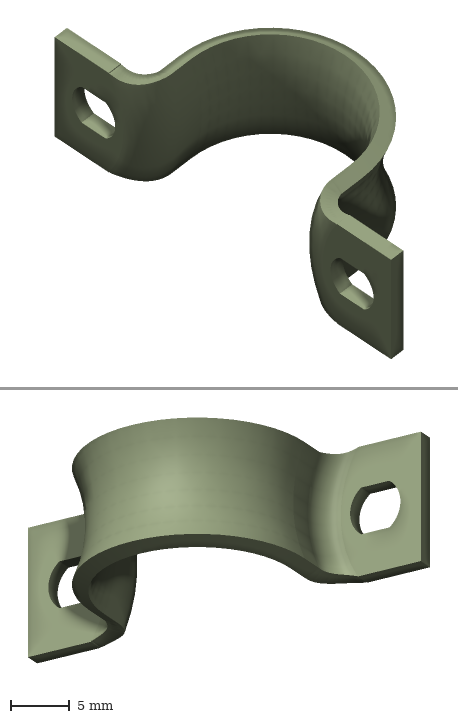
import cadquery as cq
import math

LENGTH = 39.0
HEIGHT = 12.0
THICKNESS = 1.52
half_length = LENGTH / 2
half_height = HEIGHT / 2

THROAT_RADIUS = 8.0
CROWN_RADIUS = 15.0
ARCH_CENTRE_Y = 5.95
ARCH_ANGLE = 180
crown_outer_radius = CROWN_RADIUS - THICKNESS
crown_axis_x = THROAT_RADIUS + CROWN_RADIUS
rim_angle = math.asin(half_height / CROWN_RADIUS)

BEND_RADIUS = 3.55
bend_inside_radius = BEND_RADIUS - THICKNESS
bend_centre_radius = CROWN_RADIUS - BEND_RADIUS
foot_angle = math.asin(half_height / bend_centre_radius)

FLARE_POWER = 4
FLARE_STATIONS = 12
FLARE_OVERRUN = math.radians(6)
TRIM_RADIUS_MIN = 0.2
TRIM_RADIUS_MAX = 4.68
TRIM_DEPTH = 7.8

HOLE_X = 14.98
HOLE_LENGTH = 5.0
HOLE_HEIGHT = 4.33
HOLE_FLAT = 2.8


def make_arch():
    """Half ring whose section is a slice of a curved strip with radial rims."""
    cos_rim = math.cos(rim_angle)
    sin_rim = math.sin(rim_angle)

    def rim_point(radius, side):
        return crown_axis_x - radius * cos_rim, side * radius * sin_rim

    section = (
        cq.Workplane("XZ", origin=(0, ARCH_CENTRE_Y, 0))
        .moveTo(*rim_point(CROWN_RADIUS, -1))
        .threePointArc((THROAT_RADIUS, 0), rim_point(CROWN_RADIUS, 1))
        .lineTo(*rim_point(crown_outer_radius, 1))
        .threePointArc((THROAT_RADIUS + THICKNESS, 0), rim_point(crown_outer_radius, -1))
        .close()
    )
    return section.revolve(ARCH_ANGLE, (0, 0, 0), (0, 1, 0))


def revolve_about_crown(profile, half_angle):
    """Turn an XY profile about the crown axis, evenly above and below Z = 0."""
    angle = math.degrees(half_angle)
    axis_start = (crown_axis_x, 0, 0)
    axis_end = (crown_axis_x, 1, 0)
    solid = profile.revolve(2 * angle, axis_start, axis_end)
    return solid.rotate(axis_start, axis_end, -angle)


def make_wall():
    """Straight stretch between the arch and the bend."""
    profile = (
        cq.Workplane("XY")
        .moveTo(THROAT_RADIUS, BEND_RADIUS)
        .rect(THICKNESS, ARCH_CENTRE_Y - BEND_RADIUS, centered=False)
    )
    return revolve_about_crown(profile, rim_angle)


def flare_point(bend_angle, bend_radius):
    """Point of the flaring rim at an angle and radius around the bend."""
    progress = min(max(bend_angle / (math.pi / 2), 0), 1)
    turn = rim_angle + (foot_angle - rim_angle) * progress**FLARE_POWER
    radius = bend_centre_radius + bend_radius * math.cos(bend_angle)
    return cq.Vector(
        crown_axis_x - radius * math.cos(turn),
        BEND_RADIUS - bend_radius * math.sin(bend_angle),
        radius * math.sin(turn),
    )


def make_flare_cutter():
    """Solid above the ruled surface that forms the upper rim of the bend."""
    sweep = math.pi / 2 + 2 * FLARE_OVERRUN
    angles = [sweep * i / FLARE_STATIONS - FLARE_OVERRUN for i in range(FLARE_STATIONS + 1)]
    inner, outer = [
        cq.Edge.makeSpline([flare_point(angle, radius) for angle in angles])
        for radius in (TRIM_RADIUS_MIN, TRIM_RADIUS_MAX)
    ]
    rim_face = cq.Face.makeRuledSurface(inner, outer)
    return cq.Workplane(cq.Solid.extrudeLinear(rim_face, cq.Vector(0, 0, TRIM_DEPTH)))


def make_bend():
    """Quarter bend from the wall to the foot with flared rims."""
    diagonal = math.sqrt(0.5)
    centre_x = THROAT_RADIUS + BEND_RADIUS
    profile = (
        cq.Workplane("XY")
        .moveTo(THROAT_RADIUS, BEND_RADIUS)
        .threePointArc(
            (centre_x - BEND_RADIUS * diagonal, BEND_RADIUS * (1 - diagonal)),
            (centre_x, 0),
        )
        .lineTo(centre_x, THICKNESS)
        .threePointArc(
            (centre_x - bend_inside_radius * diagonal, BEND_RADIUS - bend_inside_radius * diagonal),
            (THROAT_RADIUS + THICKNESS, BEND_RADIUS),
        )
        .close()
    )
    cutter = make_flare_cutter()
    bend = revolve_about_crown(profile, foot_angle)
    bend = bend.cut(cutter).cut(cutter.mirror("XY"))
    return bend.intersect(cq.Workplane("XY").box(LENGTH, LENGTH, HEIGHT))


def make_foot():
    """Flat foot whose inner edge follows the end of the bend."""
    edge_x = crown_axis_x - bend_centre_radius * math.cos(foot_angle)
    foot = (
        cq.Workplane("XZ")
        .moveTo(edge_x, -half_height)
        .threePointArc((THROAT_RADIUS + BEND_RADIUS, 0), (edge_x, half_height))
        .lineTo(half_length, half_height)
        .lineTo(half_length, -half_height)
        .close()
        .extrude(-THICKNESS)
    )
    hole = (
        cq.Workplane("XZ", origin=(HOLE_X, 0, 0))
        .moveTo(-HOLE_FLAT / 2, HOLE_HEIGHT / 2)
        .lineTo(HOLE_FLAT / 2, HOLE_HEIGHT / 2)
        .threePointArc((HOLE_LENGTH / 2, 0), (HOLE_FLAT / 2, -HOLE_HEIGHT / 2))
        .lineTo(-HOLE_FLAT / 2, -HOLE_HEIGHT / 2)
        .threePointArc((-HOLE_LENGTH / 2, 0), (-HOLE_FLAT / 2, HOLE_HEIGHT / 2))
        .close()
        .extrude(-THICKNESS)
    )
    return foot.cut(hole)


right_leg = make_wall().union(make_bend()).union(make_foot())
result = make_arch().union(right_leg).union(right_leg.mirror("YZ"))